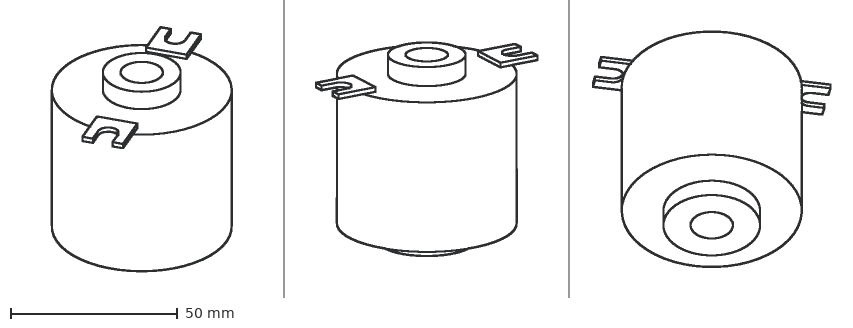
import cadquery as cq

body_diameter = 54.0
body_height = 47.25
top_collar_diameter = 23.3
top_collar_height = 6.0
bottom_collar_diameter = 29.0
bottom_collar_height = 5.5
bore_diameter = 12.7

tab_span = 70.0
tab_length = 13.0
tab_width = 12.9
tab_thickness = 1.5
slot_width = 6.3
slot_depth = 8.05


def make_body():
    """Stepped cylinder with the underside of the main body at Z = 0."""
    body = cq.Workplane("XY").circle(body_diameter / 2).extrude(body_height)
    body = body.faces(">Z").workplane().circle(top_collar_diameter / 2).extrude(top_collar_height)
    bottom_collar = cq.Workplane("XY").circle(bottom_collar_diameter / 2).extrude(-bottom_collar_height)
    return body.union(bottom_collar)


def make_tab():
    """Tab pointing toward +Y, with a round-ended slot open at its outer end."""
    outer_y = tab_span / 2
    inner_y = outer_y - tab_length
    slot_radius = slot_width / 2
    slot_bottom_y = outer_y - slot_depth
    slot_arc_y = slot_bottom_y + slot_radius
    return (
        cq.Workplane("XY", origin=(0, 0, body_height))
        .moveTo(-tab_width / 2, inner_y)
        .lineTo(tab_width / 2, inner_y)
        .lineTo(tab_width / 2, outer_y)
        .lineTo(slot_radius, outer_y)
        .lineTo(slot_radius, slot_arc_y)
        .threePointArc((0, slot_bottom_y), (-slot_radius, slot_arc_y))
        .lineTo(-slot_radius, outer_y)
        .lineTo(-tab_width / 2, outer_y)
        .close()
        .extrude(tab_thickness)
    )


result = make_body()

for angle in (0, 180):
    result = result.union(make_tab().rotate((0, 0, 0), (0, 0, 1), angle))

result = result.faces(">Z").workplane().circle(bore_diameter / 2).cutThruAll()